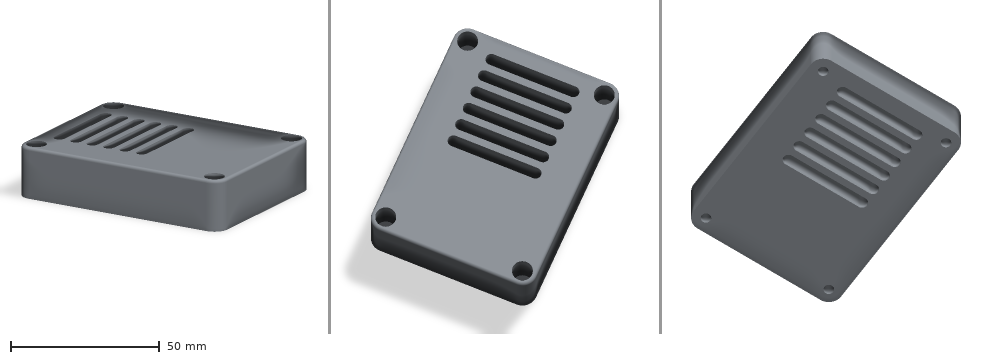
import cadquery as cq

length = 80.0
width = 60.0
height = 18.0
top_fillet = 1.0

hole_spacing_x = 70.0
hole_spacing_y = 50.0
corner_radius = (length - hole_spacing_x) / 2
hole_diameter = 3.6
counterbore_diameter = 7.0
counterbore_depth = 12.0

slot_count = 6
slot_width = 4.0
slot_length = 34.0
slot_pitch = 6.5
first_slot_x = -32.0


def rounded_block():
    """Block standing on Z = 0 with round corners and a rounded top edge."""
    block = cq.Workplane("XY").box(length, width, height, centered=(True, True, False))
    return block.edges("|Z").fillet(corner_radius).faces(">Z").edges().fillet(top_fillet)


def cut_screw_holes(body):
    """Counterbored through holes at the four corners."""
    return (
        body.faces(">Z")
        .workplane(origin=(0, 0, height))
        .rect(hole_spacing_x, hole_spacing_y, forConstruction=True)
        .vertices()
        .cboreHole(hole_diameter, counterbore_diameter, counterbore_depth)
    )


def cut_vent_slots(body):
    """Round-ended slots through the full height."""
    centres = [(first_slot_x + i * slot_pitch, 0) for i in range(slot_count)]
    slots = cq.Workplane("XY").pushPoints(centres).slot2D(slot_length, slot_width, 90).extrude(height)
    return body.cut(slots)


result = cut_vent_slots(cut_screw_holes(rounded_block()))